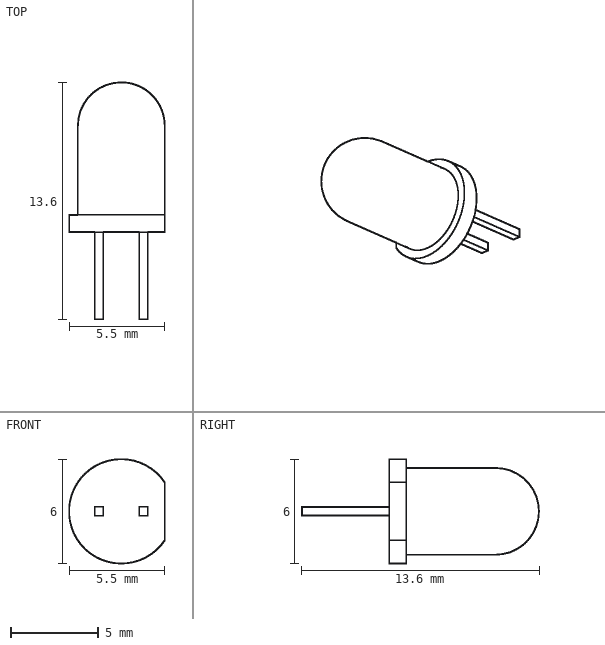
import cadquery as cq

lens_diameter = 5.0
lens_radius = lens_diameter / 2
flange_diameter = 6.0
flange_thickness = 1.0
flange_flat_x = lens_radius
barrel_length = 5.1
lead_side = 0.5
lead_length = 5.0
lead_pitch = 2.54

dome_start_y = flange_thickness + barrel_length
dome_tip_y = dome_start_y + lens_radius


def make_flange():
    """Round flange with one flat on the +X side."""
    disc = cq.Workplane("XZ").circle(flange_diameter / 2).extrude(-flange_thickness)
    trim = (
        cq.Workplane("XY")
        .box(flange_diameter, flange_thickness, flange_diameter, centered=(False, False, True))
        .translate((flange_flat_x, 0, 0))
    )
    return disc.cut(trim)


def make_lens():
    """Cylindrical barrel with a hemispherical tip, revolved about the Y axis."""
    dome_mid = cq.Vector(1, 1, 0).normalized() * lens_radius
    return (
        cq.Workplane("XY")
        .moveTo(0, 0)
        .lineTo(lens_radius, 0)
        .lineTo(lens_radius, dome_start_y)
        .threePointArc((dome_mid.x, dome_start_y + dome_mid.y), (0, dome_tip_y))
        .close()
        .revolve(360, (0, 0, 0), (0, 1, 0))
    )


def make_lead(x):
    """Square lead that starts at the flange underside and runs toward -Y."""
    return cq.Workplane("XZ").center(x, 0).rect(lead_side, lead_side).extrude(lead_length)


housing = make_flange().union(make_lens())
leads = [make_lead(side * lead_pitch / 2) for side in (-1, 1)]

result = cq.Compound.makeCompound([housing.val(), *[lead.val() for lead in leads]])